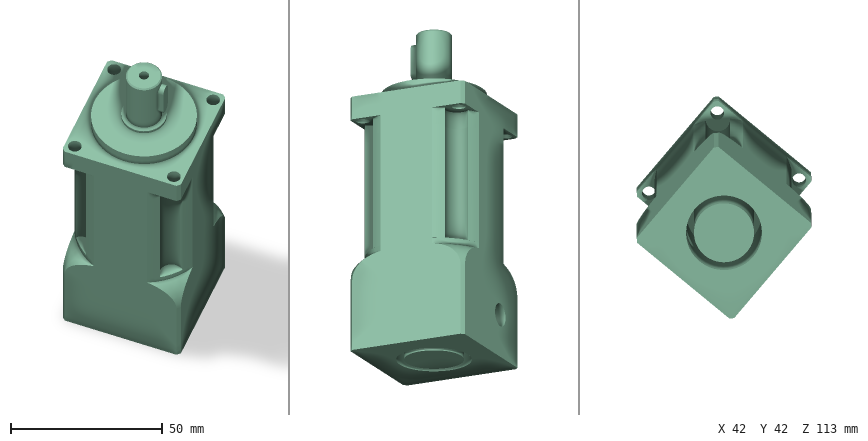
import cadquery as cq
import math

WIDTH = 42.0
HEIGHT = 113.0
CORNER_RADIUS = 28.9
WAIST_RADIUS = 23.0

SHOULDER_START = 24.2
SHOULDER_END = 33.0
BASE_TOP = 35.0
GEAR_CASE_TOP = 74.5
FLANGE_UNDERSIDE = 80.2
FLANGE_TOP = 88.1
PILOT_TOP = 92.1
COLLAR_TOP = 93.1

PILOT_RADIUS = 17.5
COLLAR_RADIUS = 7.6
SHAFT_RADIUS = 6.0
SHAFT_CHAMFER = 0.5
CENTRE_HOLE_RADIUS = 1.7
CENTRE_HOLE_DEPTH = 10.0
DRILL_POINT_ANGLE = 118.0

KEY_WIDTH = 4.0
KEY_BOTTOM = 98.0
KEY_LENGTH = 12.3
KEY_TOP_OFFSET = 7.7

BOLT_OFFSET = 17.6
BOLT_HOLE_RADIUS = 2.3
GROOVE_OFFSET = 16.2
GROOVE_RADIUS = 4.1

HUB_RADIUS = 10.0
BORE_RADIUS = 12.5
ACCESS_HOLE_RADIUS = 4.0
ACCESS_HOLE_Y = -6.9
ACCESS_HOLE_Z = 14.6


def cylinder(radius, bottom, top):
    return cq.Workplane("XY").workplane(offset=bottom).circle(radius).extrude(top - bottom)


def rounded_square(radius, bottom, top):
    """Square block whose corners are turned to the given radius."""
    block = cq.Workplane("XY").workplane(offset=bottom).rect(WIDTH, WIDTH).extrude(top - bottom)
    return block.intersect(cylinder(radius, bottom, top))


def corner_cylinders(offset, radius, bottom, top):
    """Four cylinders, one near each corner."""
    return (
        cq.Workplane("XY")
        .workplane(offset=bottom)
        .rect(2 * offset, 2 * offset, forConstruction=True)
        .vertices()
        .circle(radius)
        .extrude(top - bottom)
    )


def grooved_waist(bottom, top):
    """Slim middle section with a round groove down each corner."""
    grooves = corner_cylinders(GROOVE_OFFSET, GROOVE_RADIUS, bottom, top)
    return rounded_square(WAIST_RADIUS, bottom, top).cut(grooves)


def centre_hole():
    """Drilled hole in the shaft end, with a conical bottom."""
    straight_bottom = HEIGHT - CENTRE_HOLE_DEPTH
    point_depth = CENTRE_HOLE_RADIUS / math.tan(math.radians(DRILL_POINT_ANGLE / 2))
    return (
        cq.Workplane("XZ")
        .moveTo(0, HEIGHT)
        .lineTo(CENTRE_HOLE_RADIUS, HEIGHT)
        .lineTo(CENTRE_HOLE_RADIUS, straight_bottom)
        .lineTo(0, straight_bottom - point_depth)
        .close()
        .revolve(360, (0, 0), (0, 1))
    )


def shaft_key():
    """Round-ended key, from the shaft axis out to its outer face."""
    return (
        cq.Workplane("YZ")
        .center(0, KEY_BOTTOM + KEY_LENGTH / 2)
        .slot2D(KEY_LENGTH, KEY_WIDTH, 90)
        .extrude(KEY_TOP_OFFSET)
    )


def make_output_flange():
    """Mounting flange in one piece with the keyed output shaft."""
    plate = rounded_square(CORNER_RADIUS, FLANGE_UNDERSIDE, FLANGE_TOP)
    bolt_holes = corner_cylinders(BOLT_OFFSET, BOLT_HOLE_RADIUS, FLANGE_UNDERSIDE, FLANGE_TOP)
    shaft = cylinder(SHAFT_RADIUS, COLLAR_TOP, HEIGHT).faces(">Z").chamfer(SHAFT_CHAMFER)
    return (
        plate.cut(bolt_holes)
        .union(grooved_waist(GEAR_CASE_TOP, FLANGE_UNDERSIDE))
        .union(cylinder(PILOT_RADIUS, FLANGE_TOP, PILOT_TOP))
        .union(cylinder(COLLAR_RADIUS, PILOT_TOP, COLLAR_TOP))
        .union(shaft)
        .union(shaft_key())
        .cut(centre_hole())
    )


def make_gear_case():
    """Grooved middle case with the input hub reaching down into the base."""
    return grooved_waist(BASE_TOP, GEAR_CASE_TOP).union(cylinder(HUB_RADIUS, 0, BASE_TOP))


def turned_base():
    """Turned shape of the base, with a shoulder arc tangent to the full corner radius."""
    rise = SHOULDER_END - SHOULDER_START
    inset = CORNER_RADIUS - WAIST_RADIUS
    arc_radius = (rise**2 + inset**2) / (2 * inset)
    arc_centre = CORNER_RADIUS - arc_radius
    half_sweep = math.asin(rise / arc_radius) / 2
    arc_middle = (
        arc_centre + arc_radius * math.cos(half_sweep),
        SHOULDER_START + arc_radius * math.sin(half_sweep),
    )
    return (
        cq.Workplane("XZ")
        .lineTo(CORNER_RADIUS, 0)
        .lineTo(CORNER_RADIUS, SHOULDER_START)
        .threePointArc(arc_middle, (WAIST_RADIUS, SHOULDER_END))
        .lineTo(WAIST_RADIUS, BASE_TOP)
        .lineTo(0, BASE_TOP)
        .close()
        .revolve(360, (0, 0), (0, 1))
    )


def make_base():
    """Square motor base, bored around the hub, with a side hole to reach the hub."""
    block = cq.Workplane("XY").rect(WIDTH, WIDTH).extrude(BASE_TOP)
    access_hole = (
        cq.Workplane("YZ")
        .workplane(offset=-WIDTH / 2)
        .center(ACCESS_HOLE_Y, ACCESS_HOLE_Z)
        .circle(ACCESS_HOLE_RADIUS)
        .extrude(WIDTH / 2)
    )
    bore = cylinder(BORE_RADIUS, 0, BASE_TOP)
    return block.intersect(turned_base()).cut(bore).cut(access_hole)


output_flange = make_output_flange()
gear_case = make_gear_case()
base = make_base()

bodies = [output_flange, gear_case, base]

result = cq.Compound.makeCompound([body.solids().val() for body in bodies])